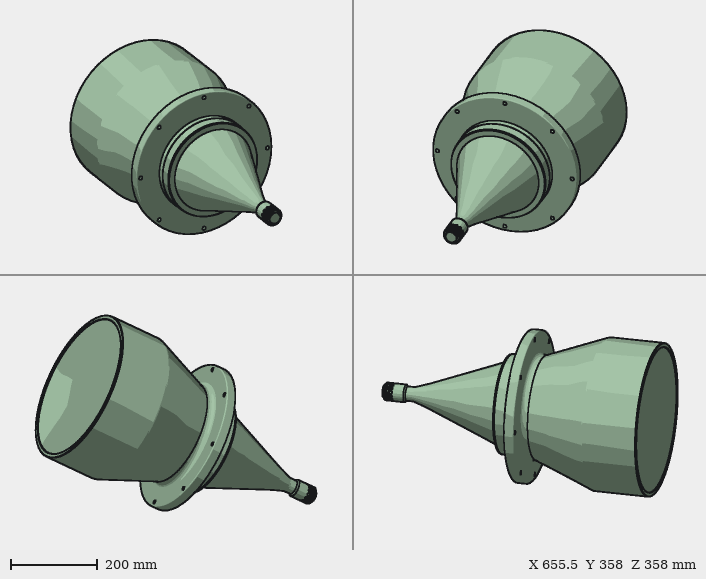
import cadquery as cq
import math

LENGTH = 655.5
BODY_RADIUS = 179.0

DRUM_LENGTH = 131.0
DRUM_FRONT_CHAMFER = 1.0
DRUM_REAR_BEVEL_LENGTH = 3.0
DRUM_REAR_BEVEL_DROP = 0.5
RIM_INNER_RADIUS = 170.0
RIM_HEIGHT = 1.0
DISH_DEPTH = 2.0

FRONT_CONE_END_X = 275.0
WAIST_RADIUS = 122.5
FLANGE_FILLET = 11.0

FLANGE_FRONT_X = 292.0
FLANGE_REAR_X = 316.5
FLANGE_EDGE_ROUND = 2.5
BOLT_HOLE_COUNT = 8
BOLT_HOLE_DIAMETER = 8.5
BOLT_CIRCLE_RADIUS = 167.0

COLLAR_FRONT_RADIUS = 118.0
COLLAR_STEP_X = 331.5
COLLAR_REAR_RADIUS = 117.0
COLLAR_END_X = 360.5
COLLAR_BEVEL_LENGTH = 4.0
COLLAR_BEVEL_DROP = 1.0

REAR_CONE_RADIUS = 101.5
REAR_CONE_END_X = 546.5
REAR_CONE_END_RADIUS = 29.0
NECK_BLEND_START_X = 580.0
NECK_BLEND_RADIUS = 18.0
NECK_START_X = 584.0
NECK_RADIUS = 17.0
NECK_END_X = 599.0

NUT_RADIUS = 21.0
NUT_FRONT_CHAMFER = 4.0
NUT_REAR_CHAMFER = 2.5
NUT_END_X = 651.5
TIP_RADIUS = 14.0
DIMPLE_COUNT = 12
DIMPLE_DIAMETER = 7.0
DIMPLE_DEPTH = 2.0
DIMPLE_X = 634.0
DIMPLE_START_ANGLE = 19.0
GROOVE_POSITIONS = (639.0, 645.0)
GROOVE_WIDTH = 1.0
GROOVE_DEPTH = 0.5


def turned_body():
    """Revolve the half outline (X, radius) about the X axis."""
    fillet_start_x = FLANGE_FRONT_X - FLANGE_FILLET
    fillet_mid = FLANGE_FILLET * math.sin(math.radians(45))
    outline = (
        cq.Workplane("XY")
        .moveTo(RIM_HEIGHT + DISH_DEPTH, 0)
        .lineTo(RIM_HEIGHT, RIM_INNER_RADIUS - RIM_HEIGHT)
        .lineTo(0, RIM_INNER_RADIUS)
        .lineTo(0, BODY_RADIUS - DRUM_FRONT_CHAMFER)
        .lineTo(DRUM_FRONT_CHAMFER, BODY_RADIUS)
        .lineTo(DRUM_LENGTH - DRUM_REAR_BEVEL_LENGTH, BODY_RADIUS)
        .lineTo(DRUM_LENGTH, BODY_RADIUS - DRUM_REAR_BEVEL_DROP)
        .lineTo(FRONT_CONE_END_X, WAIST_RADIUS)
        .lineTo(fillet_start_x, WAIST_RADIUS)
        .threePointArc(
            (fillet_start_x + fillet_mid, WAIST_RADIUS + FLANGE_FILLET - fillet_mid),
            (FLANGE_FRONT_X, WAIST_RADIUS + FLANGE_FILLET),
        )
        .lineTo(FLANGE_FRONT_X, BODY_RADIUS - FLANGE_EDGE_ROUND)
        .radiusArc((FLANGE_FRONT_X + FLANGE_EDGE_ROUND, BODY_RADIUS), FLANGE_EDGE_ROUND)
        .lineTo(FLANGE_REAR_X - FLANGE_EDGE_ROUND, BODY_RADIUS)
        .radiusArc((FLANGE_REAR_X, BODY_RADIUS - FLANGE_EDGE_ROUND), FLANGE_EDGE_ROUND)
        .lineTo(FLANGE_REAR_X, COLLAR_FRONT_RADIUS)
        .lineTo(COLLAR_STEP_X, COLLAR_FRONT_RADIUS)
        .lineTo(COLLAR_STEP_X, COLLAR_REAR_RADIUS)
        .lineTo(COLLAR_END_X - COLLAR_BEVEL_LENGTH, COLLAR_REAR_RADIUS)
        .lineTo(COLLAR_END_X, COLLAR_REAR_RADIUS - COLLAR_BEVEL_DROP)
        .lineTo(COLLAR_END_X, REAR_CONE_RADIUS)
        .lineTo(REAR_CONE_END_X, REAR_CONE_END_RADIUS)
        .lineTo(NECK_BLEND_START_X, NECK_BLEND_RADIUS)
        .lineTo(NECK_START_X, NECK_RADIUS)
        .lineTo(NECK_END_X, NECK_RADIUS)
        .lineTo(NECK_END_X + NUT_FRONT_CHAMFER, NUT_RADIUS)
        .lineTo(NUT_END_X - NUT_REAR_CHAMFER, NUT_RADIUS)
        .lineTo(NUT_END_X, NUT_RADIUS - NUT_REAR_CHAMFER)
        .lineTo(NUT_END_X, TIP_RADIUS)
        .lineTo(LENGTH, TIP_RADIUS)
        .lineTo(LENGTH, 0)
        .close()
    )
    return outline.revolve(360, (0, 0, 0), (1, 0, 0))


def bolt_holes():
    """Ring of round holes through the flange."""
    return (
        cq.Workplane("YZ", origin=(FLANGE_FRONT_X, 0, 0))
        .polarArray(BOLT_CIRCLE_RADIUS, 0, 360, BOLT_HOLE_COUNT)
        .circle(BOLT_HOLE_DIAMETER / 2)
        .extrude(FLANGE_REAR_X - FLANGE_FRONT_X)
    )


def nut_dimples():
    """Blind round holes drilled radially around the nut."""
    drill = (
        cq.Workplane("XY", origin=(DIMPLE_X, 0, NUT_RADIUS - DIMPLE_DEPTH))
        .circle(DIMPLE_DIAMETER / 2)
        .extrude(2 * DIMPLE_DEPTH)
    )
    dimples = cq.Workplane("XY")
    for i in range(DIMPLE_COUNT):
        angle = DIMPLE_START_ANGLE + i * 360 / DIMPLE_COUNT
        dimples = dimples.add(drill.rotate((0, 0, 0), (1, 0, 0), angle))
    return dimples.combine()


def nut_groove(x):
    """Shallow ring cut into the nut, centred at x."""
    return (
        cq.Workplane("YZ", origin=(x - GROOVE_WIDTH / 2, 0, 0))
        .circle(NUT_RADIUS + GROOVE_DEPTH)
        .circle(NUT_RADIUS - GROOVE_DEPTH)
        .extrude(GROOVE_WIDTH)
    )


result = turned_body().cut(bolt_holes()).cut(nut_dimples())
for groove_x in GROOVE_POSITIONS:
    result = result.cut(nut_groove(groove_x))